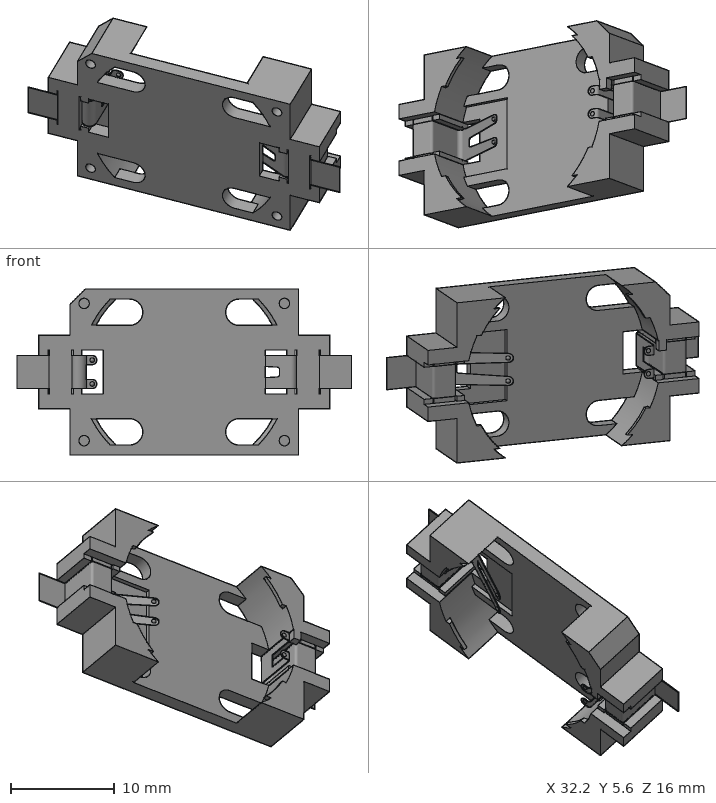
import cadquery as cq
import math

body_length = 22.0
body_height = 16.0
body_depth = 5.6
wing_span = 28.0
wing_height = 7.1
corner_chamfer = 1.5
floor_thickness = 1.4

cavity_radius = 10.0
lip_reach = 0.4
lip_slope_height = 0.2
lip_height = 0.6

hole_diameter = 1.0
hole_depth = 1.5
hole_x = 9.63
hole_z = 6.6

slot_width = 2.5
slot_z = 5.75
slot_inner_end = 4.0

window_inner = 7.8
window_outer = 9.85
window_width = 4.2
pocket_floor = 0.95

strip = 0.1
half_strip = strip / 2
contact_width = 3.2
contact_reach = 16.1
outer_leg_x = 13.1
inner_leg_x = 10.8
bridge_seat = 4.58
bridge_top = bridge_seat + strip
bridge_bend = 0.25
spring_low = 0.2

slot_clearance = 0.05
inner_wall_x = inner_leg_x - strip - slot_clearance

key_low = 1.08
key_high = window_width / 2
key_gap = 0.1

prong_width = 0.9
prong_radius = prong_width / 2
prong_z = contact_width / 2 - prong_radius
prong_gap = contact_width - 2 * prong_width

wrap_radius = 0.7
wrap_top = 5.5
wrap_top_bend = 0.3
wrap_tip_x = -8.4
wrap_gap_start = 2.5

ramp_bend = 0.45
ramp_angle_degrees = 25.0
ramp_angle = math.radians(ramp_angle_degrees)
ramp_tip_x = 4.2
ramp_gap_end = 9.15
ramp_gap_root = 0.9
ramp_gap_fillet = 0.2

ramp_bend_line = ramp_bend - half_strip
ramp_bend_x = inner_leg_x - ramp_bend
ramp_bend_y = spring_low + ramp_bend
ramp_start_x = ramp_bend_x - ramp_bend_line * math.sin(ramp_angle)
ramp_start_y = ramp_bend_y - ramp_bend_line * math.cos(ramp_angle)

bump_radius = 0.22
bump_height = 0.18

bend_inset = 1 - math.sqrt(0.5)


def block(x0, x1, y0, y1, z0, z1):
    return cq.Workplane("XY").box(x1 - x0, y1 - y0, z1 - z0, centered=False).translate((x0, y0, z0))


def band(x0, x1, y0, y1, width):
    """Block of the given width along Z, centred on Z = 0."""
    return block(x0, x1, y0, y1, -width / 2, width / 2)


def both_sides(shape):
    """Shape together with its mirror image across X = 0."""
    return shape.union(shape.mirror("YZ"))


def disc(radius, y0, y1):
    """Cylinder along Y between two levels."""
    return cq.Workplane("XZ", origin=(0, y0, 0)).circle(radius).extrude(y0 - y1)


def snap_lips():
    """Inward lips that stand over the floor slots at the mouth of the cavity."""
    crest_radius = cavity_radius - lip_reach
    lip_low = body_depth - lip_height
    ring = (
        cq.Workplane("XY")
        .polyline(
            [
                (cavity_radius, lip_low),
                (cavity_radius, body_depth),
                (crest_radius, body_depth),
                (crest_radius, lip_low + lip_slope_height),
            ]
        )
        .close()
        .revolve(axisStart=(0, 0), axisEnd=(0, 1))
    )
    slot_levels = cq.Workplane("XZ").pushPoints([(0, -slot_z), (0, slot_z)])
    return ring.intersect(slot_levels.rect(body_length, slot_width).extrude(-body_depth))


def spring_pocket():
    """Shallow pocket in the floor into which the ramp contact is pressed down."""
    pocket = band(ramp_tip_x, cavity_radius, pocket_floor, floor_thickness, wing_height)
    return pocket.intersect(disc(cavity_radius, 0, body_depth))


def coin_cavity():
    """Room for the coin, with the floor slots that the same wall closes at their outer ends."""
    slot_length = 2 * (cavity_radius - slot_inner_end)
    centers = [(sx * cavity_radius, sz * slot_z) for sx in (-1, 1) for sz in (-1, 1)]
    slots = cq.Workplane("XZ").pushPoints(centers).slot2D(slot_length, slot_width)
    slots = slots.extrude(-floor_thickness)
    floor = band(-body_length, body_length, 0, floor_thickness, body_length).cut(slots)
    return disc(cavity_radius, 0, body_depth).cut(floor).cut(snap_lips())


def corner_holes():
    centers = [(sx * hole_x, sz * hole_z) for sx in (-1, 1) for sz in (-1, 1)]
    return cq.Workplane("XZ").pushPoints(centers).circle(hole_diameter / 2).extrude(-hole_depth)


def contact_seat():
    """All the room that the +X contact needs in the housing."""
    wing_end = wing_span / 2
    outer_recess = band(outer_leg_x - strip, wing_end, 0, bridge_seat, contact_width)
    outer_slot = band(outer_leg_x - strip, outer_leg_x, 0, bridge_seat, window_width)
    inner_slot = band(inner_wall_x, inner_leg_x, 0, bridge_seat, window_width)
    back_notch = band(inner_wall_x, wing_end, bridge_seat, body_depth, window_width)
    wall_notch = band(window_outer, inner_wall_x, bridge_top, body_depth, window_width)
    spring_relief = band(window_outer, inner_wall_x, 0, bridge_top, contact_width)
    window = band(window_inner, window_outer, 0, body_depth, window_width)
    seat = outer_recess
    for room in (outer_slot, inner_slot, back_notch, wall_notch, spring_relief, window):
        seat = seat.union(room)
    return seat


def contact_key():
    """Small block that bridges part of the back notch behind the -X contact."""
    return block(-inner_wall_x, -window_outer, bridge_top + key_gap, body_depth, key_low, key_high)


def make_housing():
    body = cq.Workplane("XZ").rect(body_length, body_height).extrude(-body_depth)
    body = body.edges("|Y").edges("<X").edges(">Z").chamfer(corner_chamfer)
    wings = cq.Workplane("XZ").rect(wing_span, wing_height).extrude(-body_depth)
    housing = body.union(wings)
    housing = housing.cut(coin_cavity())
    housing = housing.cut(corner_holes()).cut(spring_pocket())
    housing = housing.cut(both_sides(contact_seat()))
    return housing.union(contact_key())


def seat_path(side):
    """Centre line of a contact from its foot, over the bridge, toward the inner leg."""
    bend = bridge_bend - half_strip
    top = bridge_top - half_strip
    outer = outer_leg_x - half_strip
    inner = inner_leg_x - half_strip
    corner = bend * bend_inset
    return (
        cq.Workplane("XY")
        .moveTo(side * contact_reach, half_strip)
        .lineTo(side * outer, half_strip)
        .lineTo(side * outer, top - bend)
        .threePointArc((side * (outer - corner), top - corner), (side * (outer - bend), top))
        .lineTo(side * (inner + bend), top)
        .threePointArc((side * (inner + corner), top - corner), (side * inner, top - bend))
    )


def sheet(path):
    """Strip of sheet metal that follows a centre line in the XY plane."""
    start = cq.Workplane("YZ", origin=path.val().startPoint().toTuple()).rect(strip, contact_width)
    return start.sweep(path, transition="right")


def round_tips(contact, tip_x, outward):
    """Rounds the prong ends; outward is the X direction from root to tip."""
    center_x = tip_x - outward * prong_radius
    ends = cq.Workplane("XZ").pushPoints([(center_x, -prong_z), (center_x, prong_z)])
    ends = ends.circle(prong_radius).extrude(-body_depth)
    x0, x1 = sorted((center_x, tip_x + outward * prong_radius))
    return contact.cut(band(x0, x1, 0, body_depth, contact_width).cut(ends))


def make_wrap_contact():
    """Contact whose spring curls up and hooks over the coin."""
    leg = -inner_leg_x + half_strip
    curl = wrap_radius - half_strip
    curl_y = spring_low + wrap_radius
    spring = leg + 2 * curl
    bend = wrap_top_bend - half_strip
    top = wrap_top - half_strip
    corner = bend * bend_inset
    path = (
        seat_path(-1)
        .lineTo(leg, curl_y)
        .threePointArc((leg + curl, curl_y - curl), (spring, curl_y))
        .lineTo(spring, top - bend)
        .threePointArc((spring + corner, top - corner), (spring + bend, top))
        .lineTo(wrap_tip_x, top)
        .wire()
    )
    gap = band(spring - strip, wrap_tip_x, wrap_gap_start, body_depth, prong_gap)
    return round_tips(sheet(path).cut(gap), wrap_tip_x, 1)


def ramp_y(x):
    """Level of the ramp's centre line."""
    return ramp_start_y + (ramp_start_x - x) * math.tan(ramp_angle)


def make_ramp_contact():
    """Contact whose spring ramps up under the coin."""
    path = (
        seat_path(1)
        .lineTo(ramp_bend_x + ramp_bend_line, ramp_bend_y)
        .threePointArc((ramp_bend_x, ramp_bend_y - ramp_bend_line), (ramp_start_x, ramp_start_y))
        .lineTo(ramp_tip_x, ramp_y(ramp_tip_x))
        .wire()
    )
    tip_center = ramp_tip_x + prong_radius
    gap = (
        cq.Workplane("XZ")
        .polyline(
            [
                (ramp_tip_x - prong_radius, prong_gap / 2),
                (tip_center, prong_gap / 2),
                (ramp_gap_end, ramp_gap_root / 2),
                (ramp_gap_end, -ramp_gap_root / 2),
                (tip_center, -prong_gap / 2),
                (ramp_tip_x - prong_radius, -prong_gap / 2),
            ]
        )
        .close()
        .extrude(-body_depth)
        .edges("|Y")
        .edges(">X")
        .fillet(ramp_gap_fillet)
    )
    return round_tips(sheet(path).cut(gap), ramp_tip_x, -1)


def make_bump(x, y, z, tilt):
    """Dome standing on a prong, its axis along +Y before tilting about Z."""
    sphere_radius = (bump_radius**2 + bump_height**2) / (2 * bump_height)
    half_angle = math.asin(bump_radius / sphere_radius) / 2
    dome = (
        cq.Workplane("XY")
        .lineTo(bump_radius, 0)
        .threePointArc(
            (
                sphere_radius * math.sin(half_angle),
                bump_height - sphere_radius * (1 - math.cos(half_angle)),
            ),
            (0, bump_height),
        )
        .close()
        .revolve(axisStart=(0, 0), axisEnd=(0, 1))
    )
    return dome.rotate((0, 0, 0), (0, 0, 1), tilt).translate((x, y, z))


def make_bumps():
    """One bump on every prong, on the side that faces the coin."""
    wrap_x = wrap_tip_x - prong_radius
    ramp_prong_x = ramp_tip_x + prong_radius
    ramp_x = ramp_prong_x + half_strip * math.sin(ramp_angle)
    ramp_surface_y = ramp_y(ramp_prong_x) + half_strip * math.cos(ramp_angle)
    upside_down = 180
    bumps = []
    for z in (-prong_z, prong_z):
        bumps.append(make_bump(wrap_x, wrap_top - strip, z, upside_down))
        bumps.append(make_bump(ramp_x, ramp_surface_y, z, -ramp_angle_degrees))
    return bumps


wrap_contact = make_wrap_contact()
ramp_contact = make_ramp_contact()
housing = make_housing().cut(wrap_contact).cut(ramp_contact)
bumps = make_bumps()

result = cq.Compound.makeCompound(
    [housing.val(), wrap_contact.val(), ramp_contact.val(), *[bump.val() for bump in bumps]]
)